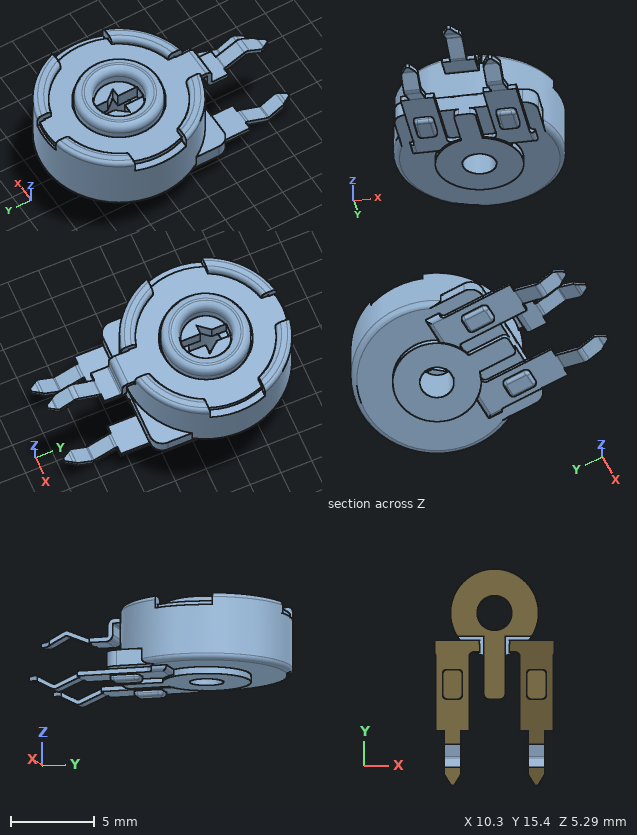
import cadquery as cq
import math


overall_length = 15.44

housing_radius = 10.3 / 2
bottom_fillet = 0.35
rim_top = 4.08
rim_inner_radius = 4.2
rim_outer_fillet = 0.28
rim_inner_fillet = 0.31
end_notch_width = 2.1
side_notch_width = 3.55
base_width = 8.7
base_height = 0.97
base_corner_radius = 0.8
boss_radius = 2.64
boss_depth = 0.42
rib_width = 1.3
rib_corner_radius = 0.31
center_hole_radius = 1.02

sheet = 0.31
bend_inner_radius = 0.1
strip_width = 2.0
pin_width = strip_width / 2
tip_width = 0.22
shoulder_y = -7.03
taper_y = -9.65
tip_y = housing_radius - overall_length
pitch = 2.5

kink_start_y = -7.1
kink_peak_y = -8.6
kink_end_y = -9.8
kink_height = 0.63

cover_bottom = 3.29
cover_top = cover_bottom + sheet
cover_radius = 4.66
cover_hole_radius = 5.6 / 2
cover_tab_radius = 5.0
cover_strip_start_y = -3.86
step_y = -5.71
middle_pin_z = 2.35

pad_rear_y = -1.39
pad_front_y = -2.33
pad_flare_radius = 0.3
pad_bottom_fillet = 0.3

peg_width = 1.2
peg_length = 1.79
peg_depth = 0.63
peg_corner_radius = 0.26
peg_bottom_fillet = 0.2

rotor_radius = 2.7
rotor_bottom = 2.47
rotor_top = 4.38
rotor_edge_fillet = 0.48
bore_edge_fillet = 0.51
bore_radius = 3.15 / 2
bore_floor_radius = 3.0 / 2
bore_floor = 3.43
slot_width = 0.8
arrow_half_width = 1.0
arrow_base_y = -0.17
arrow_neck_y = 0.55


def block(x_size, y_min, y_max, z_min, z_max):
    """Box centered on X = 0."""
    corner_plane = cq.Workplane("XY", origin=(0, y_min, z_min))
    return corner_plane.box(x_size, y_max - y_min, z_max - z_min, centered=(True, False, False))


def disc(radius, z_min, z_max):
    """Upright cylinder on the Z axis."""
    return cq.Workplane("XY", origin=(0, 0, z_min)).circle(radius).extrude(z_max - z_min)


def bend_corner(before, corner, after, offset):
    """Mitred corner of a line offset to the left of a path, with the turning angle of the path."""
    heading_in = math.atan2(corner[1] - before[1], corner[0] - before[0])
    heading_out = math.atan2(after[1] - corner[1], after[0] - corner[0])
    turn = math.remainder(heading_out - heading_in, 2 * math.pi)
    normal = heading_in + turn / 2 + math.pi / 2
    reach = offset / math.cos(turn / 2)
    return (corner[0] + reach * math.cos(normal), corner[1] + reach * math.sin(normal)), turn


def bent_sheet(path, width):
    """Sheet bent along a middle line of (y, z) points; its first and last runs lie flat along -Y."""
    half = sheet / 2
    left = [(path[0][0], path[0][1] - half)]
    right = [(path[0][0], path[0][1] + half)]
    bends = []
    for before, corner, after in zip(path, path[1:], path[2:]):
        left_corner, turn = bend_corner(before, corner, after, half)
        right_corner, _ = bend_corner(before, corner, after, -half)
        inner, outer = (left_corner, right_corner) if turn > 0 else (right_corner, left_corner)
        bends.append((inner, bend_inner_radius))
        bends.append((outer, bend_inner_radius + sheet))
        left.append(left_corner)
        right.append(right_corner)
    left.append((path[-1][0], path[-1][1] - half))
    right.append((path[-1][0], path[-1][1] + half))

    body = cq.Workplane("YZ").polyline(left + right[::-1]).close().extrude(width / 2, both=True)
    for (y, z), radius in bends:
        body = body.edges(cq.selectors.NearestToPointSelector((0, y, z))).fillet(radius)
    return body


def kinked_run(flat_z, direction):
    """Middle line of a pin from its first bend to its tip; direction is the side the kink points to."""
    return [
        (kink_start_y, flat_z),
        (kink_peak_y, flat_z + direction * kink_height),
        (kink_end_y, flat_z),
        (tip_y, flat_z),
    ]


def pin_outline(rear_y):
    """Plan of a strip that narrows to a pin with a pointed tip."""
    right_side = [
        (strip_width / 2, rear_y),
        (strip_width / 2, shoulder_y),
        (pin_width / 2, shoulder_y),
        (pin_width / 2, taper_y),
        (tip_width / 2, tip_y),
    ]
    left_side = [(-x, y) for x, y in reversed(right_side)]
    return cq.Workplane("XY").polyline(right_side + left_side).close()


def trimmed_sheet(path):
    """Bent sheet cut to the pin outline."""
    outline = pin_outline(path[0][0]).extrude(rotor_top, both=True)
    return bent_sheet(path, strip_width).intersect(outline)


def make_cover():
    """Round metal cover with a short rear tab, and a front strip stepped down to the middle pin."""
    plate = disc(cover_radius, cover_bottom, cover_top)
    rear_tab = block(strip_width, 0, cover_tab_radius, cover_bottom, cover_top).intersect(
        disc(cover_tab_radius, cover_bottom, cover_top)
    )
    plate_z = (cover_bottom + cover_top) / 2
    path = [(cover_strip_start_y, plate_z), (step_y, plate_z), (step_y, middle_pin_z)]
    strip = trimmed_sheet(path + kinked_run(middle_pin_z, 1))
    plate = plate.union(rear_tab).union(strip)
    return plate.cut(disc(cover_hole_radius, cover_bottom, cover_top))


def terminal_pad():
    """Wide rear end of the left terminal, flaring out of the strip, with its underside rounded."""
    half = strip_width / 2
    x_min = -half - pad_flare_radius
    x_max = pitch - rib_width / 2
    flare_y = pad_front_y - pad_flare_radius
    arc_inset = pad_flare_radius * (1 - math.sqrt(0.5))
    plan = (
        cq.Workplane("XY")
        .moveTo(x_min, pad_rear_y)
        .lineTo(x_max, pad_rear_y)
        .lineTo(x_max, pad_front_y)
        .lineTo(half + pad_flare_radius, pad_front_y)
        .threePointArc((half + arc_inset, pad_front_y - arc_inset), (half, flare_y))
        .lineTo(-half, flare_y)
        .threePointArc((-half - arc_inset, pad_front_y - arc_inset), (x_min, pad_front_y))
        .close()
        .extrude(-sheet)
    )
    rounded = (
        cq.Workplane("XY")
        .box(x_max - x_min, pad_rear_y - shoulder_y, sheet, centered=False)
        .translate((x_min, shoulder_y, -sheet))
        .edges("<Z and (<X or >X or >Y)")
        .fillet(pad_bottom_fillet)
    )
    return plan.intersect(rounded)


def make_terminal(side):
    """Outer terminal on the given side of the Y axis (-1 or 1), with a window for its peg."""
    flat_z = -sheet / 2
    strip = trimmed_sheet([(pad_front_y, flat_z)] + kinked_run(flat_z, -1))
    left = strip.union(terminal_pad()).cut(make_peg()).translate((-pitch, 0, 0))
    return left if side < 0 else left.mirror("YZ")


def make_peg():
    """Peg under the front edge of the base, centered on X = 0."""
    front_y = -housing_radius
    peg = block(peg_width, front_y, front_y + peg_length, -peg_depth, 0)
    return peg.edges("|Z").fillet(peg_corner_radius).faces("<Z").edges().fillet(peg_bottom_fillet)


def housing_blank():
    """Round body whose rim curls inward over the cover."""
    return (
        cq.Workplane("XZ")
        .moveTo(0, 0)
        .lineTo(housing_radius - bottom_fillet, 0)
        .radiusArc((housing_radius, bottom_fillet), -bottom_fillet)
        .lineTo(housing_radius, rim_top - rim_outer_fillet)
        .radiusArc((housing_radius - rim_outer_fillet, rim_top), -rim_outer_fillet)
        .lineTo(rim_inner_radius + rim_inner_fillet, rim_top)
        .radiusArc((rim_inner_radius, rim_top - rim_inner_fillet), -rim_inner_fillet)
        .lineTo(rim_inner_radius, cover_bottom)
        .lineTo(0, cover_bottom)
        .close()
        .revolve(360, (0, 0, 0), (0, 1, 0))
    )


def make_housing():
    """Round cup on a rectangular base, with rim clips on top and terminal slots underneath."""
    body = housing_blank()

    body = body.cut(disc(cover_radius, cover_bottom, cover_top))
    for width, length in ((end_notch_width, 2 * housing_radius), (2 * housing_radius, side_notch_width)):
        body = body.cut(block(width, -length / 2, length / 2, cover_bottom, rim_top))

    base = block(base_width, -housing_radius, 0, 0, base_height)
    body = body.union(base.edges("|Z and <Y").fillet(base_corner_radius))

    rib = block(rib_width, -housing_radius, 0, -boss_depth, 0)
    rib = rib.edges("|Z and <Y").fillet(rib_corner_radius)
    body = body.union(disc(boss_radius, -boss_depth, 0)).union(rib)
    slot_length = (base_width - rib_width) / 2
    for side in (-1, 1):
        terminal_slot = block(slot_length, -housing_radius, pad_rear_y, -sheet, 0)
        body = body.cut(terminal_slot.translate((side * (rib_width + slot_length) / 2, 0, 0)))
        body = body.union(make_peg().translate((side * pitch, 0, 0)))

    body = body.cut(disc(rotor_radius, rotor_bottom, rotor_top))
    return body.cut(disc(center_hole_radius, -boss_depth, rotor_top))


def make_rotor():
    """Round knob with a rounded collar and an arrow-shaped screwdriver slot."""
    body = (
        cq.Workplane("XZ")
        .moveTo(0, rotor_bottom)
        .lineTo(rotor_radius, rotor_bottom)
        .lineTo(rotor_radius, rotor_top - rotor_edge_fillet)
        .radiusArc((rotor_radius - rotor_edge_fillet, rotor_top), -rotor_edge_fillet)
        .lineTo(bore_radius + bore_edge_fillet, rotor_top)
        .radiusArc((bore_radius, rotor_top - bore_edge_fillet), -bore_edge_fillet)
        .lineTo(bore_floor_radius, bore_floor)
        .lineTo(0, bore_floor)
        .close()
        .revolve(360, (0, 0, 0), (0, 1, 0))
    )

    slot = block(slot_width, -bore_floor_radius, bore_floor_radius, rotor_bottom, bore_floor)
    arrow_head = (
        cq.Workplane("XY", origin=(0, 0, rotor_bottom))
        .polyline([
            (-arrow_half_width, arrow_base_y),
            (arrow_half_width, arrow_base_y),
            (slot_width / 2, arrow_neck_y),
            (-slot_width / 2, arrow_neck_y),
        ])
        .close()
        .extrude(bore_floor - rotor_bottom)
    )
    return body.cut(slot).cut(arrow_head)


terminals = [make_terminal(side) for side in (-1, 1)]
housing = make_housing()
cover = make_cover()
rotor = make_rotor()
result = cq.Compound.makeCompound(
    [housing.val(), cover.val(), rotor.val()] + [terminal.val() for terminal in terminals]
)